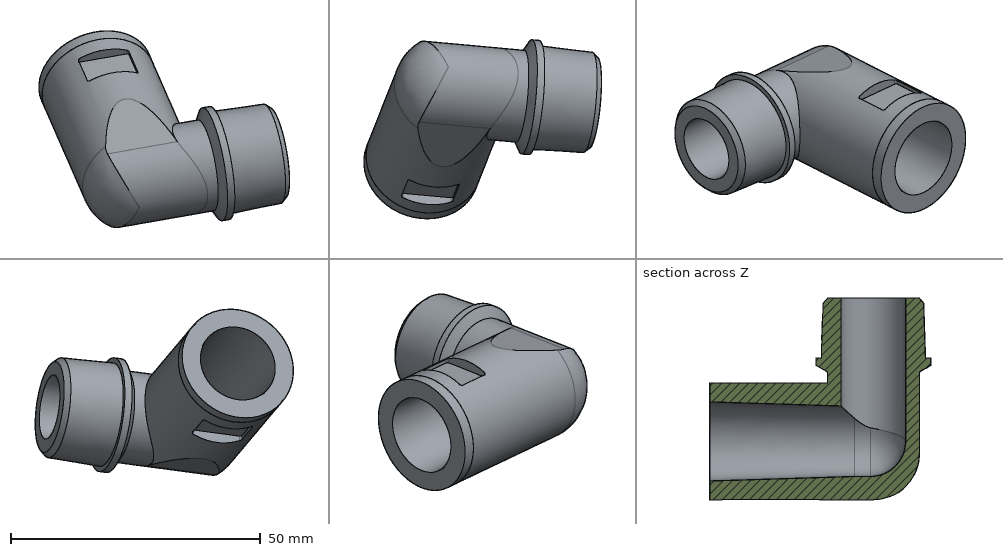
import cadquery as cq
import math

corner_x = 32.75
branch_end = 28.75

rim_radius = 23.5 / 2
rim_length = 2.5
pipe_radius = 23.45 / 2
branch_radius = 18.5 / 2

dome_axis_y = branch_radius - pipe_radius

collar_radius = 23.0 / 2
collar_start = 13.9
collar_cone_length = 1.33
collar_end = 16.73
thread_root_radius = 20.95 / 2
thread_tip_radius = 20.22 / 2
branch_face_radius = 18.3 / 2
tip_chamfer_length = 1.1

bore_mouth_radius = 15.8 / 2
bore_taper_length = 29.05
bore_inner_radius = 14.0 / 2
branch_bore_radius = 6.45

cheek_angle = math.radians(12)

pocket_start = 5.97
pocket_length = 7.4
pocket_width = 10.5
pocket_floor = 9.7
pocket_corner_radius = 0.4


def revolve_about_x(points):
    """Revolve an (x, radius) outline about the pipe axis."""
    return cq.Workplane("XY").polyline(points).close().revolve(360, (0, 0, 0), (1, 0, 0))


def cylinder_along_x(start, length, radius):
    return cq.Workplane("YZ", origin=(start, 0, 0)).circle(radius).extrude(length)


def make_corner_dome():
    """Turn the lower part of the pipe section about a vertical axis to round the corner."""
    half_height = math.sqrt(pipe_radius**2 - dome_axis_y**2)
    return (
        cq.Workplane("XZ", origin=(corner_x, dome_axis_y, 0))
        .moveTo(0, -half_height)
        .threePointArc((branch_radius, 0), (0, half_height))
        .close()
        .revolve(360, (0, 0, 0), (0, 1, 0))
    )


def make_cheek_envelope():
    """Side outline of the body: parallel pipe, tangent flats and a rounded end."""
    tangent_x = corner_x + branch_radius * math.sin(cheek_angle)
    tangent_z = branch_radius * math.cos(cheek_angle)
    flat_start = tangent_x - (rim_radius - tangent_z) / math.tan(cheek_angle)
    return (
        cq.Workplane("XZ")
        .moveTo(0, -rim_radius)
        .lineTo(flat_start, -rim_radius)
        .lineTo(tangent_x, -tangent_z)
        .threePointArc((corner_x + branch_radius, 0), (tangent_x, tangent_z))
        .lineTo(flat_start, rim_radius)
        .lineTo(0, rim_radius)
        .close()
        .extrude(rim_radius, both=True)
    )


def make_pipe():
    straight = cylinder_along_x(0, corner_x, pipe_radius)
    inner_side = cylinder_along_x(corner_x, branch_radius, pipe_radius).intersect(
        cq.Workplane("XY")
        .box(branch_radius, 2 * pipe_radius, 2 * pipe_radius, centered=(False, False, True))
        .translate((corner_x, dome_axis_y, 0))
    )
    body = straight.union(inner_side).union(make_corner_dome())
    rim = cylinder_along_x(0, rim_length, rim_radius)
    return body.intersect(make_cheek_envelope()).union(rim)


def make_branch():
    """Branch neck, conical-backed collar and tapered male end, turned about its own axis."""
    outline = [
        (0, 0),
        (branch_radius, 0),
        (branch_radius, collar_start),
        (collar_radius, collar_start + collar_cone_length),
        (collar_radius, collar_end),
        (thread_root_radius, collar_end),
        (thread_tip_radius, branch_end - tip_chamfer_length),
        (branch_face_radius, branch_end),
        (0, branch_end),
    ]
    branch = cq.Workplane("XY").polyline(outline).close().revolve(360, (0, 0, 0), (0, 1, 0))
    return branch.translate((corner_x, 0, 0))


def make_bores():
    """Tapered pipe bore with a spherical end that meets the far wall of the branch bore."""
    sphere_x = corner_x + branch_bore_radius - bore_inner_radius
    pipe_bore = revolve_about_x(
        [
            (0, 0),
            (0, bore_mouth_radius),
            (bore_taper_length, bore_inner_radius),
            (sphere_x, bore_inner_radius),
            (sphere_x, 0),
        ]
    )
    bore_end = cq.Workplane("XY").sphere(bore_inner_radius).translate((sphere_x, 0, 0))
    branch_bore = (
        cq.Workplane("XZ", origin=(corner_x, 0, 0)).circle(branch_bore_radius).extrude(-branch_end)
    )
    return pipe_bore.union(bore_end).union(branch_bore)


def make_pocket():
    """Flat-bottomed wrench pocket, open upward, with rounded corners in plan."""
    return (
        cq.Workplane("XY")
        .box(pocket_length, pocket_width, rim_radius, centered=(False, True, False))
        .edges("|Z")
        .fillet(pocket_corner_radius)
        .translate((pocket_start, 0, pocket_floor))
    )


result = make_pipe().union(make_branch()).cut(make_bores())
pocket = make_pocket()
for cutter in (pocket, pocket.mirror("XY")):
    result = result.cut(cutter)